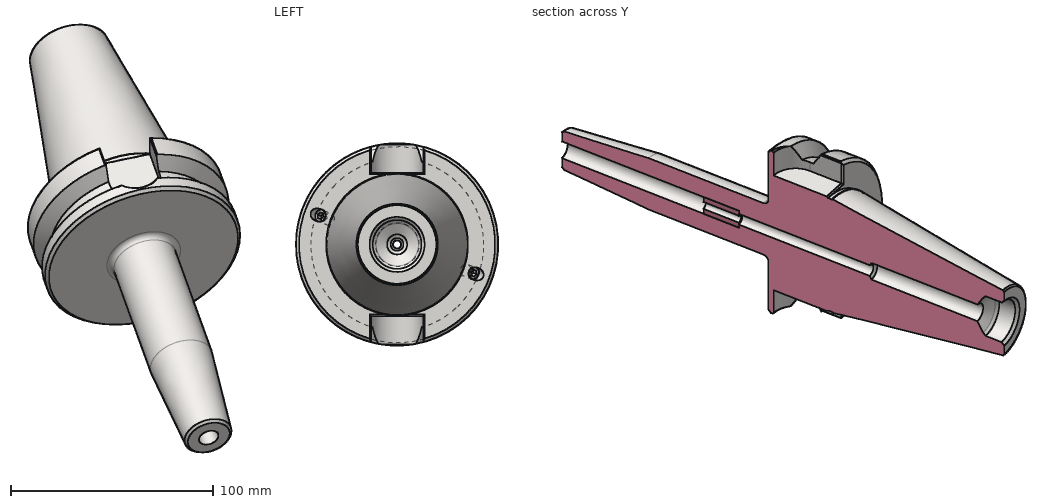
import cadquery as cq
import math

taper_length = 101.8
taper_small_radius = 20.2
taper_large_radius = 35.0
taper_end_chamfer = 0.8
relief_diameter = 69.5

flange_diameter = 100.0
flange_radius = flange_diameter / 2
flange_start = 104.2
flange_end = 139.8
flange_rear_chamfer = 1.5
flange_front_chamfer = 1.5
groove_floor_radius = 42.7
groove_start = 116.8
groove_floor_start = 121.5
groove_floor_end = 127.8
groove_end = 132.5

slot_width = 25.7
slot_end = 136.5
slot_arc_centre = slot_end - slot_width / 2
slot_floor_height = 35.3
slot_edge_chamfer = 0.8

neck_diameter = 32.0
neck_fillet = 3.0
neck_end = 210.5
nose_end = 261.8
nose_end_radius = 12.0
nose_end_chamfer = 1.3

pilot_diameter = 24.0
pilot_mouth_chamfer = 1.5
pilot_depth = 11.0
counterbore_diameter = 21.0
drill_diameter = 10.0
drill_end = 78.5
drill_tip_angle = 118.0
passage_diameter = 6.3
tool_bore_diameter = 10.0
tool_bore_start = 157.0

stop_screw_length = 21.0
stop_screw_bore = 4.0

coolant_hole_diameter = 6.3
coolant_screw_diameter = 6.0
coolant_screw_length = 7.9
coolant_screw_recess = 2.0
coolant_socket_width = 3.1
coolant_socket_depth = 3.1
coolant_hole_pitch_radius = 41.5
coolant_hole_tilt = 35.0
coolant_hole_angles = (20.5, 200.5)


def revolved_about_x(sketch):
    """Close a half outline of (X, radius) points and spin it about the X axis."""
    return sketch.close().revolve(360, (0, 0, 0), (1, 0, 0))


def make_outer_form():
    neck_radius = neck_diameter / 2
    fillet_middle = neck_fillet * (1 - math.sqrt(0.5))
    outline = (
        cq.Workplane("XY")
        .moveTo(0, 0)
        .lineTo(0, taper_small_radius - taper_end_chamfer)
        .lineTo(taper_end_chamfer, taper_small_radius)
        .lineTo(taper_length, taper_large_radius)
        .lineTo(taper_length, relief_diameter / 2)
        .lineTo(flange_start, relief_diameter / 2)
        .lineTo(flange_start, flange_radius - flange_rear_chamfer)
        .lineTo(flange_start + flange_rear_chamfer, flange_radius)
        .lineTo(groove_start, flange_radius)
        .lineTo(groove_floor_start, groove_floor_radius)
        .lineTo(groove_floor_end, groove_floor_radius)
        .lineTo(groove_end, flange_radius)
        .lineTo(flange_end - flange_front_chamfer, flange_radius)
        .lineTo(flange_end, flange_radius - flange_front_chamfer)
        .lineTo(flange_end, neck_radius + neck_fillet)
        .threePointArc(
            (flange_end + fillet_middle, neck_radius + fillet_middle),
            (flange_end + neck_fillet, neck_radius),
        )
        .lineTo(neck_end, neck_radius)
        .lineTo(nose_end - nose_end_chamfer, nose_end_radius)
        .lineTo(nose_end, nose_end_radius - nose_end_chamfer)
        .lineTo(nose_end, 0)
    )
    return revolved_about_x(outline)


def drill_tip_length(large_diameter, small_diameter):
    """Length of the cone that a drill leaves between two diameters."""
    return (large_diameter - small_diameter) / 2 / math.tan(math.radians(drill_tip_angle / 2))


def make_bore():
    pilot_radius = pilot_diameter / 2
    counterbore_radius = counterbore_diameter / 2
    drill_radius = drill_diameter / 2
    passage_radius = passage_diameter / 2
    counterbore_end = pilot_depth + pilot_radius - counterbore_radius
    drill_start = counterbore_end + drill_tip_length(counterbore_diameter, drill_diameter)
    passage_start = drill_end + drill_tip_length(drill_diameter, passage_diameter)
    outline = (
        cq.Workplane("XY")
        .moveTo(0, 0)
        .lineTo(0, pilot_radius + pilot_mouth_chamfer)
        .lineTo(pilot_mouth_chamfer, pilot_radius)
        .lineTo(pilot_depth, pilot_radius)
        .lineTo(counterbore_end, counterbore_radius)
        .lineTo(drill_start, drill_radius)
        .lineTo(drill_end, drill_radius)
        .lineTo(passage_start, passage_radius)
        .lineTo(tool_bore_start, passage_radius)
        .lineTo(tool_bore_start, tool_bore_diameter / 2)
        .lineTo(nose_end, tool_bore_diameter / 2)
        .lineTo(nose_end, 0)
    )
    return revolved_about_x(outline)


def make_slot_pocket():
    """Round-ended pocket of the top slot, opening through the rear face of the flange."""
    half_width = slot_width / 2
    return (
        cq.Workplane("XY", origin=(0, 0, slot_floor_height))
        .moveTo(flange_start, -half_width)
        .lineTo(slot_arc_centre, -half_width)
        .threePointArc((slot_end, 0), (slot_arc_centre, half_width))
        .lineTo(flange_start, half_width)
        .close()
        .extrude(flange_radius - slot_floor_height)
    )


def make_slot_mouth_bevel():
    """Bevel around the slot where it opens through the rear face of the flange."""
    mouth_width = slot_width + 2 * slot_edge_chamfer
    mouth_height = 2 * (flange_radius - slot_floor_height + slot_edge_chamfer)
    return (
        cq.Workplane("YZ", origin=(flange_start, 0, flange_radius))
        .rect(mouth_width, mouth_height)
        .extrude(slot_edge_chamfer, taper=45)
    )


def make_slot_land_bevel():
    """Bevels along the two slot edges on the rear land of the flange."""
    half_width = slot_width / 2
    edge_height = math.sqrt(flange_radius**2 - half_width**2)
    bevel_bottom = edge_height - slot_edge_chamfer
    half_top_width = half_width + flange_radius - bevel_bottom
    return (
        cq.Workplane("YZ", origin=(flange_start, 0, 0))
        .moveTo(-half_width, bevel_bottom)
        .lineTo(half_width, bevel_bottom)
        .lineTo(half_top_width, flange_radius)
        .lineTo(-half_top_width, flange_radius)
        .close()
        .extrude(groove_start - flange_start)
    )


def make_slot_end_bevel():
    """Bevel where the round end of the slot meets the front land of the flange."""
    return (
        cq.Workplane("XY", origin=(slot_arc_centre, 0, flange_radius))
        .circle(slot_width / 2 + slot_edge_chamfer)
        .extrude(-slot_edge_chamfer, taper=45)
    )


def make_drive_slots():
    top_slot = (
        make_slot_pocket()
        .union(make_slot_mouth_bevel())
        .union(make_slot_land_bevel())
        .union(make_slot_end_bevel())
    )
    return top_slot.union(top_slot.mirror("XY"))


def coolant_plane(angle, depth):
    """Plane across a coolant hole, at a depth along its axis from the flange face."""
    tilt = math.radians(coolant_hole_tilt)
    around = math.radians(angle)
    outward = cq.Vector(0, math.cos(around), math.sin(around))
    axis = cq.Vector(math.cos(tilt), 0, 0) - outward * math.sin(tilt)
    mouth = cq.Vector(flange_start, 0, 0) + outward * coolant_hole_pitch_radius
    across = cq.Vector(0, -math.sin(around), math.cos(around))
    return cq.Plane(mouth + axis * depth, across, axis)


def make_coolant_hole(angle):
    """Clearance mouth down to the screw head, then a hole that fits the screw."""
    lead_in = coolant_hole_diameter
    mouth = (
        cq.Workplane(coolant_plane(angle, -lead_in))
        .circle(coolant_hole_diameter / 2)
        .extrude(lead_in + coolant_screw_recess)
    )
    seat = (
        cq.Workplane(coolant_plane(angle, coolant_screw_recess))
        .circle(coolant_screw_diameter / 2)
        .extrude(coolant_screw_length)
    )
    return mouth.union(seat)


def make_holder():
    holder = make_outer_form().cut(make_bore()).cut(make_drive_slots())
    for angle in coolant_hole_angles:
        holder = holder.cut(make_coolant_hole(angle))
    return holder


def make_stop_screw():
    return (
        cq.Workplane("YZ", origin=(tool_bore_start, 0, 0))
        .circle(tool_bore_diameter / 2)
        .circle(stop_screw_bore / 2)
        .extrude(stop_screw_length)
    )


def make_coolant_screw(angle):
    head_plane = coolant_plane(angle, coolant_screw_recess)
    body = cq.Workplane(head_plane).circle(coolant_screw_diameter / 2).extrude(coolant_screw_length)
    socket = (
        cq.Workplane(head_plane)
        .polygon(6, coolant_socket_width, circumscribed=True)
        .extrude(coolant_socket_depth)
    )
    return body.cut(socket)


holder = make_holder()
stop_screw = make_stop_screw()
coolant_screws = [make_coolant_screw(angle) for angle in coolant_hole_angles]

result = cq.Compound.makeCompound(
    [holder.val(), stop_screw.val(), *[screw.val() for screw in coolant_screws]]
)